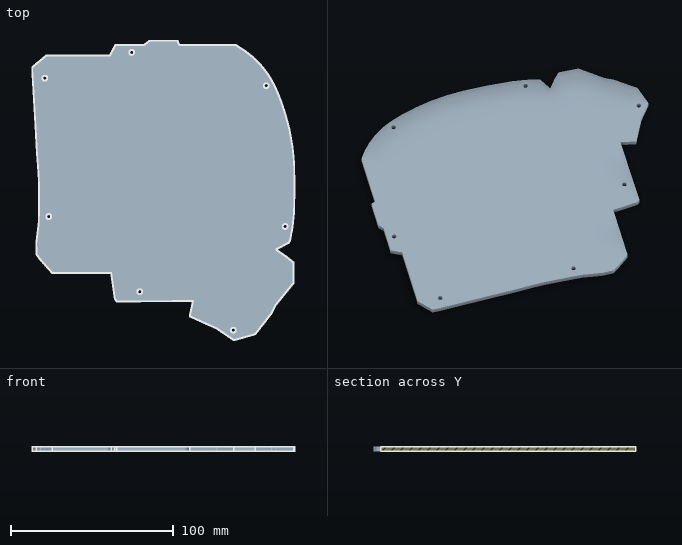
import cadquery as cq

plate_width = 161.4
plate_length = 184.2
plate_thickness = 3.0
hole_diameter = 3.0

back_tab_y = plate_length
back_shoulder_y = 181.6
back_left_y = 175.2
front_left_y = 41.3
lobe_side_x = 160.6

bow_start = (125.0, back_shoulder_y)
bow_points = [
    (134.8, 174.8),
    (145.0, 163.5),
    (153.3, 146.3),
    (158.2, 129.5),
    (160.8, 112.0),
    (plate_width, 95.8),
    (161.0, 78.3),
    (158.6, 61.5),
]

lobe_points = [
    (157.9, 60.0),
    (150.0, 55.8),
    (156.5, 51.2),
    (lobe_side_x, 47.9),
    (lobe_side_x, 35.2),
    (149.5, 21.5),
    (147.0, 16.4),
    (137.0, 3.7),
    (124.0, 0.0),
    (113.5, 7.2),
    (96.7, 14.7),
    (98.7, 24.1),
]

front_points = [
    (52.0, 23.8),
    (50.7, 25.8),
    (48.5, front_left_y),
    (12.3, front_left_y),
    (4.8, 49.7),
    (2.5, 52.9),
]

left_points = [
    (2.4, 59.9),
    (3.9, 71.8),
    (4.0, 78.3),
    (4.0, 96.3),
    (3.7, 103.9),
    (2.8, 115.5),
    (2.0, 129.7),
    (0.0, 164.3),
    (0.0, 168.0),
]

back_points = [
    (8.7, back_left_y),
    (47.7, back_left_y),
    (51.0, back_shoulder_y),
    (68.7, back_shoulder_y),
    (72.0, back_tab_y),
    (89.3, back_tab_y),
    (90.5, back_shoulder_y),
]

hole_centers = [
    (7.7, 161.2),
    (61.2, 177.0),
    (143.9, 156.5),
    (155.5, 70.0),
    (123.6, 6.3),
    (66.1, 29.8),
    (10.1, 76.0),
]


def make_plate():
    outline = cq.Workplane("XY").moveTo(*bow_start)
    outline = outline.spline(bow_points, includeCurrent=True)
    for point in lobe_points + front_points + left_points + back_points:
        outline = outline.lineTo(*point)
    return outline.close().extrude(plate_thickness)


def make_hole_cutters():
    return cq.Workplane("XY").pushPoints(hole_centers).circle(hole_diameter / 2).extrude(plate_thickness)


result = make_plate().cut(make_hole_cutters())